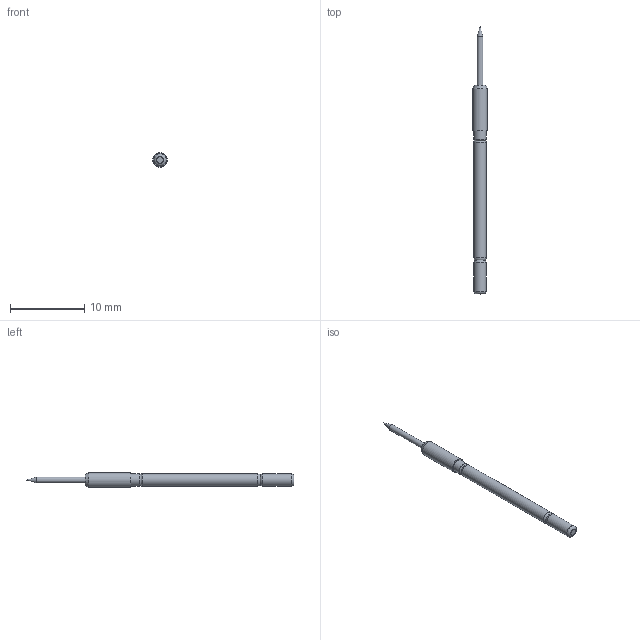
import cadquery as cq
import math


total_length = 36.0
tip_length = 1.45
needle_length = 6.5
collar_length = 6.1
collar_rear_y = total_length - tip_length - needle_length - collar_length
collar_front_y = collar_rear_y + collar_length
needle_front_y = total_length - tip_length
front_crimp_y = 20.57
rear_crimp_y = 4.52

body_radius = 0.825
collar_radius = 1.0
needle_radius = 0.4

rear_fillet = 0.375
collar_chamfer_length = 0.45
collar_chamfer_height = 0.2
front_crimp_half_width = 0.22
rear_crimp_half_width = 0.33
crimp_depth = 0.17


def crimp(profile, center_y, half_width):
    """Continue the profile through a crimp: two rounded shoulders meeting in a sharp valley."""
    shoulder_radius = (half_width**2 + crimp_depth**2) / (2 * crimp_depth)
    half_sweep = math.asin(half_width / shoulder_radius) / 2
    mid_offset = half_width - shoulder_radius * math.sin(half_sweep)
    mid_radius = body_radius - shoulder_radius * (1 - math.cos(half_sweep))
    valley = (body_radius - crimp_depth, center_y)
    return (
        profile.lineTo(body_radius, center_y - half_width)
        .threePointArc((mid_radius, center_y - mid_offset), valley)
        .threePointArc((mid_radius, center_y + mid_offset), (body_radius, center_y + half_width))
    )


def probe():
    """Revolve the half outline (radius along X) about the Y axis."""
    fillet_leg = rear_fillet * math.sqrt(0.5)
    fillet_mid = (body_radius - rear_fillet + fillet_leg, rear_fillet - fillet_leg)
    profile = (
        cq.Workplane("XY")
        .lineTo(body_radius - rear_fillet, 0)
        .threePointArc(fillet_mid, (body_radius, rear_fillet))
    )
    profile = crimp(profile, rear_crimp_y, rear_crimp_half_width)
    profile = crimp(profile, front_crimp_y, front_crimp_half_width)
    profile = (
        profile.lineTo(body_radius, collar_rear_y)
        .lineTo(collar_radius, collar_rear_y)
        .lineTo(collar_radius, collar_front_y - collar_chamfer_length)
        .lineTo(collar_radius - collar_chamfer_height, collar_front_y)
        .lineTo(needle_radius, collar_front_y)
        .lineTo(needle_radius, needle_front_y)
        .lineTo(0, total_length)
        .close()
    )
    return profile.revolve(360, (0, 0), (0, 1))


result = probe()